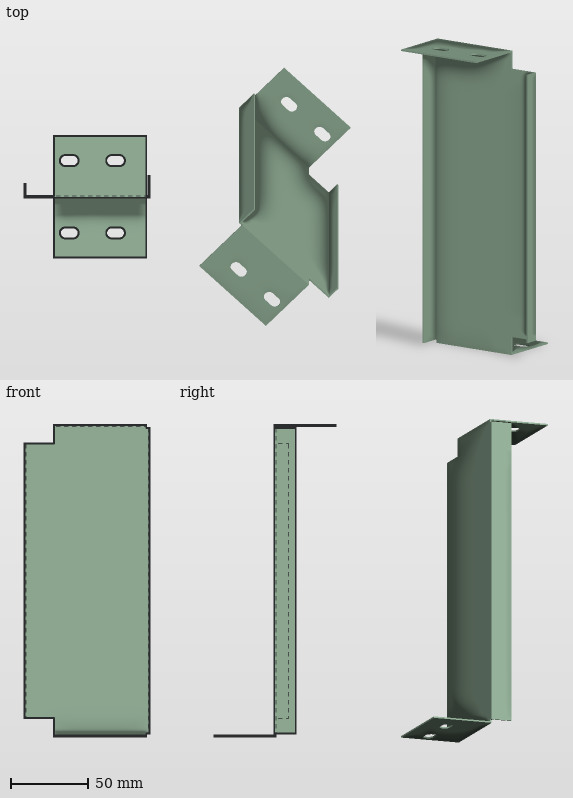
import cadquery as cq

thickness = 1.0
overall_width = 81.0
overall_depth = 78.84
overall_height = 202.0

flange_length = (overall_depth + thickness) / 2
flange_width = 60.0
corner_relief = 2.0
flange_right = overall_width - corner_relief
flange_left = flange_right - flange_width

left_lip_depth = 9.0
right_lip_depth = 14.0
left_notch_height = 12.0

slot_length = 12.0
slot_width = 7.0
slot_pitch = 30.0
slot_edge_distance = 16.0
first_slot_inset = 10.0
first_slot_x = flange_left + first_slot_inset


def block(x_range, y_range, z_range):
    """Rectangular block between the given limits."""
    (x0, x1), (y0, y1), (z0, z1) = x_range, y_range, z_range
    return cq.Workplane("XY").box(x1 - x0, y1 - y0, z1 - z0, centered=False).translate((x0, y0, z0))


def make_web():
    """Upright plate: full height between the flanges, shorter at both sides."""
    sheet = (0, thickness)
    middle = block((flange_left, flange_right), sheet, (0, overall_height))
    left = block((0, flange_left), sheet, (left_notch_height, overall_height - left_notch_height))
    right = block((flange_right, overall_width), sheet, (corner_relief, overall_height - corner_relief))
    return middle.union(left).union(right)


def make_lip(x_start, depth, end_gap):
    """Vertical lip folded toward +Y, stopping short of both ends of the part."""
    return block((x_start, x_start + thickness), (0, depth), (end_gap, overall_height - end_gap))


def make_flange(y_range, z_start, slot_y):
    """Horizontal flange with its pair of slots."""
    flange = block((flange_left, flange_right), y_range, (z_start, z_start + thickness))
    slots = (
        cq.Workplane("XY", origin=(first_slot_x, slot_y, z_start))
        .pushPoints([(0, 0), (slot_pitch, 0)])
        .slot2D(slot_length, slot_width)
        .extrude(thickness)
    )
    return flange.cut(slots)


top_end = flange_length
bottom_end = thickness - flange_length
top_flange = make_flange((0, top_end), overall_height - thickness, top_end - slot_edge_distance)
bottom_flange = make_flange((bottom_end, thickness), 0, bottom_end + slot_edge_distance)

left_lip = make_lip(0, left_lip_depth, left_notch_height)
right_lip = make_lip(overall_width - thickness, right_lip_depth, corner_relief)

result = make_web().union(left_lip).union(right_lip).union(top_flange).union(bottom_flange)